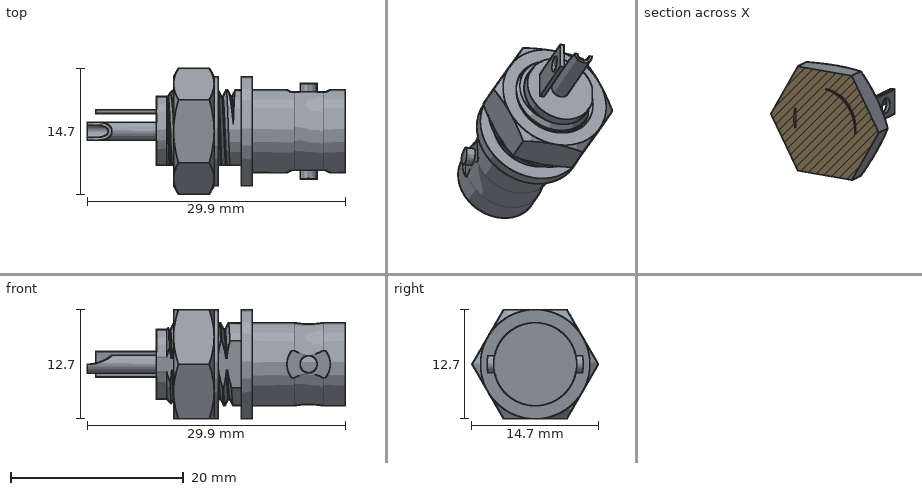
import cadquery as cq
import math


length = 29.93
body_start = 8.02
thread_start = 9.22
nut_start = 10.03
nut_end = 14.73
washer_end = 15.2
flange_start = 17.87
flange_end = 19.15

thread_radius = 4.8
root_radius = 4.0
tip_radius = 4.05
flat_distance = 3.95
first_groove_x = 9.58
last_groove_x = 15.92
groove_turns = 6
pitch = (last_groove_x - first_groove_x) / groove_turns
groove_floor = 0.15
groove_mouth = 0.93
first_turn = -1
full_end_turn = groove_turns + 0.75
runout_turn = 0.22
runout_steps = 6
runout_end_depth = 0.02

across_flats = 12.7
flange_radius = across_flats / 2
nut_bore_radius = 4.15
nut_countersink_radius = 4.73
nut_chamfer_angle = 30.0

barrel_radius = 4.82
neck_centre_x = 25.68
neck_half_length = 1.68
neck_radius = 4.67

lug_radius = 1.0
lug_reach = 5.57
seat_radius = 2.5
seat_distance = 4.55

pin_radius = 1.05
cup_bore_radius = 0.72
cup_bore_depth = 4.2
cup_sweep_radius = 4.5
tab_start = 1.0
tab_height = 3.0
tab_thickness = 0.48
tab_centre_y = 2.27
tab_hole_x = 3.0
tab_hole_radius = 0.9

overshoot = 0.3
groove_overshoot = 0.05


def rod(x_start, x_end, radius):
    """Cylinder along X between two stations."""
    return cq.Workplane("YZ", origin=(x_start, 0, 0)).circle(radius).extrude(x_end - x_start)


def groove_section(turn, depth_left=1.0):
    """Wire of the thread groove, `turn` turns after its first pass over the +Z side.

    depth_left scales the groove depth and width, so that it can fade out.
    """
    centre_x = first_groove_x + pitch * turn
    angle = 90 + 360 * turn
    depth = (thread_radius - root_radius) * depth_left
    slope = (groove_mouth - groove_floor) / 2 / (thread_radius - root_radius)
    floor_half = groove_floor / 2 * depth_left
    outer_half = floor_half + slope * (depth + groove_overshoot)
    floor_r = thread_radius - depth
    outer_r = thread_radius + groove_overshoot
    section = (
        cq.Workplane("XY")
        .moveTo(centre_x - floor_half, floor_r)
        .lineTo(centre_x + floor_half, floor_r)
        .lineTo(centre_x + outer_half, outer_r)
        .lineTo(centre_x - outer_half, outer_r)
        .close()
    )
    return section.val().rotate(cq.Vector(0, 0, 0), cq.Vector(1, 0, 0), angle)


def thread_groove():
    """Right-handed helical cutter, from ahead of the thread to the start of its runout."""
    turns = full_end_turn - first_turn
    helix = cq.Wire.makeHelix(
        pitch,
        pitch * turns,
        root_radius,
        center=cq.Vector(first_groove_x + pitch * first_turn, 0, 0),
        dir=cq.Vector(1, 0, 0),
    )
    return cq.Solid.sweep(groove_section(first_turn), [], helix, True, True)


def groove_runout():
    """Fading end of the groove, lofted through shrinking sections."""
    sections = []
    for step in range(runout_steps + 1):
        fraction = step / runout_steps
        depth_left = 1 - (1 - runout_end_depth) * fraction
        sections.append(groove_section(full_end_turn + runout_turn * fraction, depth_left))
    return cq.Solid.makeLoft(sections)


def threaded_stub():
    """Plain tip, chamfered lead-in and thread, with a flat along the -Y side."""
    blank = rod(thread_start, flange_start, thread_radius)
    stub = blank.cut(cq.Workplane(groove_runout())).cut(cq.Workplane(thread_groove()))
    lead_in = (
        cq.Workplane("XY")
        .moveTo(thread_start, 0)
        .lineTo(thread_start, tip_radius)
        .lineTo(thread_start + thread_radius - tip_radius, thread_radius)
        .lineTo(flange_start, thread_radius)
        .lineTo(flange_start, 0)
        .close()
        .revolve(360, (0, 0, 0), (1, 0, 0))
    )
    stub = stub.intersect(lead_in)
    stub = stub.union(rod(body_start, thread_start, tip_radius))
    below_flat = cq.Workplane("XY").box(
        flange_start - body_start, thread_radius, 2 * thread_radius, centered=(False, False, True)
    )
    return stub.cut(below_flat.translate((body_start, -flat_distance - thread_radius, 0)))


def nut_and_washer():
    """Hexagon with flats facing +Z and -Z, both ends chamfered, and a washer against it.

    The bore is countersunk at the nut's free end.
    """
    corner_radius = across_flats / 2 / math.cos(math.pi / 6)
    chamfer = (corner_radius - flange_radius) * math.tan(math.radians(nut_chamfer_angle))
    hexagon = (
        cq.Workplane("YZ", origin=(nut_start, 0, 0))
        .polygon(6, 2 * corner_radius)
        .extrude(nut_end - nut_start)
    )
    turned_blank = (
        cq.Workplane("XY")
        .moveTo(nut_start, 0)
        .lineTo(nut_start, flange_radius)
        .lineTo(nut_start + chamfer, corner_radius)
        .lineTo(nut_end - chamfer, corner_radius)
        .lineTo(nut_end, flange_radius)
        .lineTo(nut_end, 0)
        .close()
        .revolve(360, (0, 0, 0), (1, 0, 0))
    )
    nut = hexagon.intersect(turned_blank)
    nut = nut.union(rod(nut_end, washer_end, flange_radius))
    countersink = cq.Workplane(
        cq.Solid.makeCone(
            nut_countersink_radius,
            nut_bore_radius,
            nut_countersink_radius - nut_bore_radius,
            pnt=cq.Vector(nut_start, 0, 0),
            dir=cq.Vector(1, 0, 0),
        )
    )
    return nut.cut(rod(nut_start, washer_end, nut_bore_radius)).cut(countersink)


def barrel():
    """Flange and barrel, with a shallow rounded neck and two flat lug seats."""
    profile = (
        cq.Workplane("XY")
        .moveTo(flange_start, 0)
        .lineTo(flange_start, flange_radius)
        .lineTo(flange_end, flange_radius)
        .lineTo(flange_end, barrel_radius)
        .lineTo(neck_centre_x - neck_half_length, barrel_radius)
        .threePointArc(
            (neck_centre_x, neck_radius),
            (neck_centre_x + neck_half_length, barrel_radius),
        )
        .lineTo(length, barrel_radius)
        .lineTo(length, 0)
        .close()
    )
    turned = profile.revolve(360, (0, 0, 0), (1, 0, 0))
    lug_plane = cq.Workplane("XZ", origin=(neck_centre_x, 0, 0))
    for side in (1, -1):
        seat = (
            lug_plane.workplane(offset=side * seat_distance)
            .circle(seat_radius)
            .extrude(side * overshoot)
        )
        turned = turned.cut(seat)
    lugs = lug_plane.circle(lug_radius).extrude(lug_reach, both=True)
    lug_tips = rod(neck_centre_x - seat_radius, neck_centre_x + seat_radius, lug_reach)
    return turned.union(lugs.intersect(lug_tips))


def solder_pin():
    """Pin bored from its end, with the upper half swept away to leave an open cup."""
    cup_top = pin_radius + overshoot
    cup_end_x = math.sqrt(cup_sweep_radius**2 - (cup_sweep_radius - cup_top) ** 2)
    half_turn = math.asin(cup_end_x / cup_sweep_radius) / 2
    arc_middle = (
        cup_sweep_radius * math.sin(half_turn),
        cup_sweep_radius * (1 - math.cos(half_turn)),
    )
    cup_opening = (
        cq.Workplane("XZ")
        .moveTo(0, 0)
        .threePointArc(arc_middle, (cup_end_x, cup_top))
        .lineTo(0, cup_top)
        .close()
        .extrude(pin_radius + overshoot, both=True)
    )
    pin = rod(0, body_start, pin_radius)
    return pin.cut(rod(0, cup_bore_depth, cup_bore_radius)).cut(cup_opening)


def ground_tab():
    """Thin upright tab beside the pin, with a round hole through it."""
    tab = cq.Workplane("XY").box(
        body_start - tab_start, tab_thickness, tab_height, centered=(False, True, True)
    )
    tab = tab.translate((tab_start, tab_centre_y, 0))
    hole = (
        cq.Workplane("XZ", origin=(tab_hole_x, tab_centre_y, 0))
        .circle(tab_hole_radius)
        .extrude(tab_thickness, both=True)
    )
    return tab.cut(hole)


result = barrel()
for piece in (threaded_stub(), nut_and_washer(), solder_pin(), ground_tab()):
    result = result.union(piece)